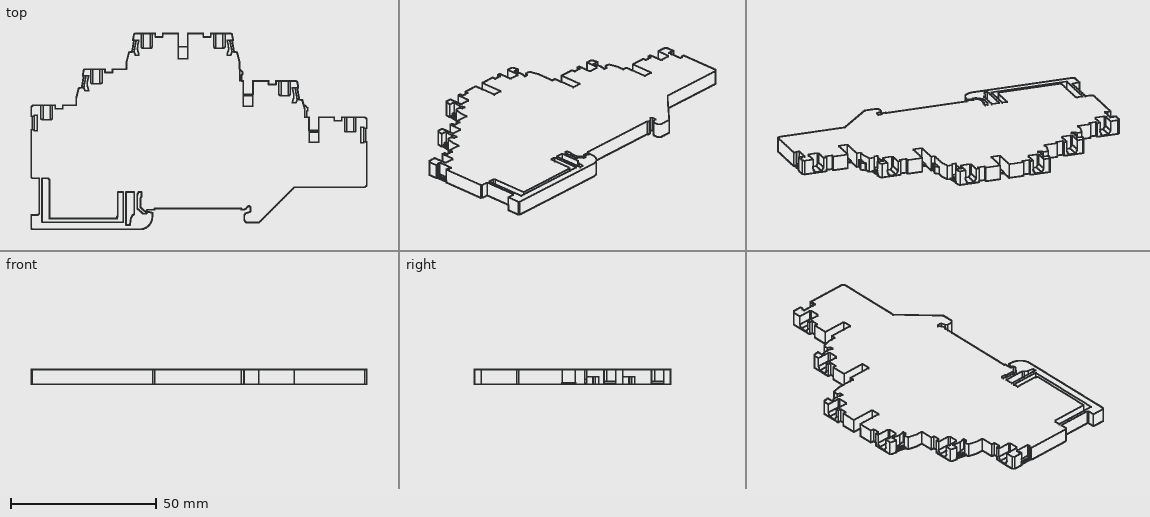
import cadquery as cq


LENGTH = 115.6
HEIGHT = 67.5
THICKNESS = 5.1
FLOOR = 0.35

AXIS = 52.3
TOP_HALF_SPACING = 12.5
LEFT_LOW_X = 5.35
LEFT_MID_X = 22.5
LEFT_TOP_X = AXIS - TOP_HALF_SPACING
RIGHT_TOP_X = AXIS + TOP_HALF_SPACING
RIGHT_MID_X = 87.25
RIGHT_LOW_X = 109.85
LEFT_LOW_Y = 42.8
LEFT_MID_Y = 55.2
RIGHT_MID_Y = 51.1
RIGHT_LOW_Y = 38.65
LEFT = -1
RIGHT = 1

STRAIGHT_TERMINALS = [
    (LEFT_LOW_X, LEFT_LOW_Y, LEFT),
    (RIGHT_LOW_X, RIGHT_LOW_Y, RIGHT),
]
TILTED_TERMINALS = [
    (LEFT_MID_X, LEFT_MID_Y, LEFT),
    (LEFT_TOP_X, HEIGHT, LEFT),
    (RIGHT_TOP_X, HEIGHT, RIGHT),
    (RIGHT_MID_X, RIGHT_MID_Y, RIGHT),
]
TILTED_LEDGES = [LEFT_LOW_Y, LEFT_MID_Y, RIGHT_MID_Y, RIGHT_LOW_Y]

FOOT_OUT = 6.95
CORNER_CHAMFER = 0.7

POCKET_WIDTH = 3.9
POCKET_FLOOR_WIDTH = 2.4
POCKET_DEPTH = 5.1
POCKET_SLOPE_HEIGHT = 1.3
POCKET_END_CHAMFER = 0.4
NOTCH_OFFSET = 4.25
NOTCH_WIDTH = 2.5
NOTCH_DEPTH = 1.2

SLOT_INSET = 0.35
STRAIGHT_STEP_FLOOR = 0.55
TILTED_STEP_FLOOR = 1.0
STRAIGHT_STEP_IN = 1.1
STRAIGHT_BACK_IN = 2.15

CHANNEL_WIDTH = 3.25
CHANNEL_OPEN_DEPTH = 4.6
CHANNEL_DEPTH = 8.7
LIP_LENGTH = 0.55
LIP_DROP = 0.2
CHANNELS = [
    (AXIS, HEIGHT, False),
    (74.7, RIGHT_MID_Y, True),
    (97.35, RIGHT_LOW_Y, True),
]

EAR_HEIGHT = THICKNESS / 2

SIDE_Y = 17.6
SPRING_TOP_Y = 12.8
RAIL_Y = 7.15
LOWER_RIGHT_Y = 14.5
HOOK_Y = 2.3
HOOK_RADIUS = 1.2
LIP_FACE_Y = 6.75
EDGE_BREAK = 0.4
WEB_LEFT = 2.8
WEB_RIGHT = 3.8
FOOT_TOP_Y = 5.0
TONGUE_LEFT = 6.3
TONGUE_RIGHT = 29.9
TONGUE_BOTTOM = 3.7
U_CUT_RIGHT = 31.7
U_CUT_BOTTOM = 2.55
TAPER_LEFT = 32.75
TAPER_RIGHT = 35.5
TAPER_BOTTOM = 1.6
GAP_LEFT = 36.6
GAP_RIGHT = 37.6


def plate(points, bottom=0.0, top=THICKNESS):
    """Extrude a closed polygon between two heights."""
    return cq.Workplane("XY").workplane(offset=bottom).polyline(points).close().extrude(top - bottom)


def box(x_min, x_max, y_min, y_max, bottom=0.0, top=THICKNESS):
    """Axis-aligned block."""
    corners = [(x_min, y_min), (x_max, y_min), (x_max, y_max), (x_min, y_max)]
    return plate(corners, bottom, top)


def placed(points, terminal):
    """Turn (outward, down) points of a terminal into plate coordinates."""
    x, y, side = terminal
    return [(x + side * out, y - down) for out, down in points]


def core():
    """Main outline with the stepped tiers, the rail hook and the sprung rail foot."""
    right_chamfer_x = LENGTH - CORNER_CHAMFER
    hook_left = 73.35
    hook_back = 78.4
    hook_throat = 75.5
    rail_left, rail_right = 42.5, 72.4
    arm_end = (41.8, 4.4)
    outline = (
        cq.Workplane("XY")
        .moveTo(0, SIDE_Y + EDGE_BREAK)
        .lineTo(0, LEFT_LOW_Y - CORNER_CHAMFER)
        .lineTo(CORNER_CHAMFER, LEFT_LOW_Y)
        .lineTo(LEFT_MID_X, LEFT_LOW_Y)
        .lineTo(LEFT_MID_X, LEFT_MID_Y)
        .lineTo(LEFT_TOP_X, LEFT_MID_Y)
        .lineTo(LEFT_TOP_X, HEIGHT)
        .lineTo(RIGHT_TOP_X, HEIGHT)
        .lineTo(RIGHT_TOP_X, RIGHT_MID_Y)
        .lineTo(RIGHT_MID_X, RIGHT_MID_Y)
        .lineTo(RIGHT_MID_X, RIGHT_LOW_Y)
        .lineTo(right_chamfer_x, RIGHT_LOW_Y)
        .lineTo(LENGTH, RIGHT_LOW_Y - CORNER_CHAMFER)
        .lineTo(LENGTH, LOWER_RIGHT_Y + CORNER_CHAMFER)
        .lineTo(right_chamfer_x, LOWER_RIGHT_Y)
        .lineTo(hook_back + LOWER_RIGHT_Y - HOOK_Y, LOWER_RIGHT_Y)
        .lineTo(hook_back, HOOK_Y)
        .lineTo(hook_left + HOOK_RADIUS, HOOK_Y)
        .radiusArc((hook_left, HOOK_Y + HOOK_RADIUS), HOOK_RADIUS)
        .lineTo(hook_left, 5.0)
        .lineTo(73.9, 5.6)
        .lineTo(hook_throat, 6.1)
        .lineTo(hook_throat, 7.6)
        .threePointArc((75.0, 8.0), (74.5, 7.7))
        .lineTo(74.0, RAIL_Y)
        .lineTo(rail_right + 0.8, LIP_FACE_Y)
        .lineTo(rail_right, LIP_FACE_Y)
        .lineTo(rail_right, RAIL_Y)
        .lineTo(rail_left, RAIL_Y)
        .lineTo(rail_left, LIP_FACE_Y)
        .lineTo(40.0, LIP_FACE_Y)
        .lineTo(39.5, 5.9)
        .lineTo(GAP_RIGHT, 7.6)
        .lineTo(GAP_RIGHT, 10.8)
        .lineTo(37.95, 11.1)
        .lineTo(37.95, SPRING_TOP_Y)
        .lineTo(37.0, SPRING_TOP_Y)
        .lineTo(GAP_LEFT, 11.8)
        .lineTo(GAP_LEFT, 7.2)
        .lineTo(38.6, 5.4)
        .lineTo(39.6, 5.4)
        .lineTo(40.2, 6.1)
        .lineTo(41.9, 5.7)
        .lineTo(*arm_end)
        .threePointArc((40.7, 1.5), (37.9, 0))
        .lineTo(EDGE_BREAK, 0)
        .lineTo(0, EDGE_BREAK)
        .lineTo(0, FOOT_TOP_Y)
        .lineTo(WEB_LEFT - EDGE_BREAK, FOOT_TOP_Y)
        .lineTo(WEB_LEFT, FOOT_TOP_Y + EDGE_BREAK)
        .lineTo(WEB_LEFT, SIDE_Y)
        .lineTo(EDGE_BREAK, SIDE_Y)
        .close()
    )
    return outline.extrude(THICKNESS)


def spring_cuts():
    """U-shaped cut and tapered slot that leave thin spring webs in the rail foot."""
    chamfer = 0.5
    notch_width, notch_height = 0.3, 0.7
    u_cut = plate([
        (WEB_RIGHT, SIDE_Y),
        (TONGUE_LEFT - chamfer, SIDE_Y),
        (TONGUE_LEFT, SIDE_Y - chamfer),
        (TONGUE_LEFT, TONGUE_BOTTOM),
        (TONGUE_RIGHT - notch_width, TONGUE_BOTTOM),
        (TONGUE_RIGHT - notch_width, TONGUE_BOTTOM + notch_height),
        (TONGUE_RIGHT, TONGUE_BOTTOM + notch_height),
        (TONGUE_RIGHT, SPRING_TOP_Y),
        (U_CUT_RIGHT, SPRING_TOP_Y),
        (U_CUT_RIGHT, U_CUT_BOTTOM),
        (WEB_RIGHT, U_CUT_BOTTOM),
    ])
    tapered_slot = plate([
        (TAPER_LEFT, SPRING_TOP_Y),
        (TAPER_RIGHT, SPRING_TOP_Y),
        (TAPER_RIGHT, 5.2),
        (34.9, 4.9),
        (34.3, 3.7),
        (34.0, TAPER_BOTTOM),
        (TAPER_LEFT, TAPER_BOTTOM),
    ])
    return u_cut.union(tapered_slot)


def flank(terminal, ledge):
    """Outer part of a tilted terminal, from its centre line down to the tier below."""
    drop = terminal[1] - ledge
    start, corner, corner_mid, corner_end, tilt_end, shoulder, foot, foot_end, inner = placed(
        [(0, 0), (3.9, 0), (4.32, 0.3), (4.5, 0.85), (5.45, 6.4), (6.15, 6.6),
         (FOOT_OUT, 9.8), (FOOT_OUT, drop), (0, drop)],
        terminal,
    )
    outline = cq.Workplane("XY").moveTo(*start).lineTo(*corner).threePointArc(corner_mid, corner_end)
    for point in [tilt_end, shoulder, foot, foot_end, inner]:
        outline = outline.lineTo(*point)
    return outline.close().extrude(THICKNESS)


def ear(terminal, ledge):
    """Low latch ear standing on the ledge beside the foot of a right-hand flank."""
    x = terminal[0] + FOOT_OUT
    profile = [(-1.0, 0), (0.75, 0), (0.75, 2.0), (1.1, 2.3), (1.1, 3.0), (0, 4.1), (-1.0, 4.1)]
    return plate([(x + out, ledge + up) for out, up in profile], 0, EAR_HEIGHT)


def wire_pocket(terminal):
    """Pocket open at the top edge and the top face, with sloped lower walls."""
    x, y, _ = terminal
    half = POCKET_WIDTH / 2
    floor_half = POCKET_FLOOR_WIDTH / 2
    slope_top = FLOOR + POCKET_SLOPE_HEIGHT
    section = [
        (x - half, THICKNESS), (x - half, slope_top), (x - floor_half, FLOOR),
        (x + floor_half, FLOOR), (x + half, slope_top), (x + half, THICKNESS),
    ]
    trough = cq.Workplane("XZ", origin=(0, y, 0)).polyline(section).close().extrude(POCKET_DEPTH)
    return trough.edges("|Z and <Y").chamfer(POCKET_END_CHAMFER)


def marker_notch(terminal):
    """Shallow notch cut through the top edge."""
    x, y, side = terminal
    middle = x - side * NOTCH_OFFSET
    return box(middle - NOTCH_WIDTH / 2, middle + NOTCH_WIDTH / 2, y - NOTCH_DEPTH, y)


def straight_slot(terminal):
    """Side slot in a vertical end: through strip, floor strip and raised inner floor."""
    x, _, side = terminal
    edge = x if side == LEFT else LENGTH - x
    start, end, overlap = 3.9, 8.5, 0.35
    step, back = edge - STRAIGHT_STEP_IN, edge - STRAIGHT_BACK_IN
    strip_edge = edge - SLOT_INSET
    through = [(edge, start), (strip_edge, start), (strip_edge, end), (edge, end)]
    outer = [(edge, start), (step, start), (step, end), (edge, end)]
    inner = [(step, start - overlap), (back, start - overlap), (back, end + overlap), (step, end + overlap)]
    return (
        plate(placed(through, terminal))
        .union(plate(placed(outer, terminal), FLOOR))
        .union(plate(placed(inner, terminal), STRAIGHT_STEP_FLOOR))
    )


def tilted_slot(terminal):
    """Side slot in a tilted flank, with a ridge pointing into it from its inner wall."""
    start, end, inner_end = 2.4, 6.4, 7.5
    back = 2.65
    top_out, end_out = 4.76, 5.45
    beyond = end_out + 0.5
    step_top, step_end = (3.6, start), (4.35, end)
    through = [(beyond, start), (top_out - SLOT_INSET, start), (end_out - SLOT_INSET, end), (beyond, end)]
    outer = [(beyond, start), step_top, step_end, (beyond, end)]
    inner = [step_top, (back, start), (3.1, 4.2), (3.2, 5.5), (back, inner_end), (3.9, inner_end), step_end]
    return (
        plate(placed(through, terminal))
        .union(plate(placed(outer, terminal), FLOOR))
        .union(plate(placed(inner, terminal), TILTED_STEP_FLOOR))
    )


def channel(x, y, has_lip):
    """Slot that is open at its top and continues downward as a recess."""
    left, right = x - CHANNEL_WIDTH / 2, x + CHANNEL_WIDTH / 2
    step_y = y - CHANNEL_OPEN_DEPTH
    cut = box(left, right, step_y, y)
    cut = cut.union(box(left, right, y - CHANNEL_DEPTH, step_y, FLOOR))
    if has_lip:
        cut = cut.union(box(left, right, step_y - LIP_LENGTH, step_y, FLOOR - LIP_DROP))
    return cut


body = core().cut(spring_cuts())

for tilted, ledge_y in zip(TILTED_TERMINALS, TILTED_LEDGES):
    body = body.union(flank(tilted, ledge_y))
    if tilted[2] == RIGHT:
        body = body.union(ear(tilted, ledge_y))

for tilted in TILTED_TERMINALS:
    body = body.cut(tilted_slot(tilted))

for straight in STRAIGHT_TERMINALS:
    body = body.cut(straight_slot(straight))

for any_terminal in STRAIGHT_TERMINALS + TILTED_TERMINALS:
    body = body.cut(wire_pocket(any_terminal)).cut(marker_notch(any_terminal))

for centre_x, top_y, lipped in CHANNELS:
    body = body.cut(channel(centre_x, top_y, lipped))

result = body